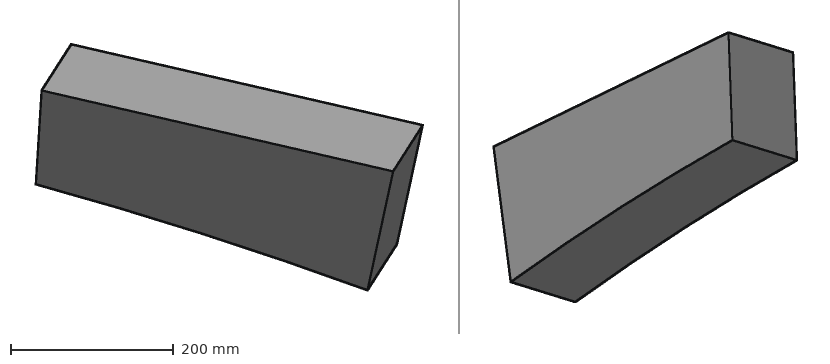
import cadquery as cq
import math

overall_length = 470.02
overall_height = 191.55
width = 101.6
left_end_tilt = 3.0
right_end_tilt = 10.0
left_end_height = 146.1
curve_radius = 4200.0
seam_rise = 138.9

left_slope = math.tan(math.radians(left_end_tilt))
right_slope = math.tan(math.radians(right_end_tilt))

top_left = (left_end_height * left_slope, 0.0)
top_right = (overall_length, 0.0)
bottom_left = (0.0, -left_end_height)
bottom_right = (overall_length - overall_height * right_slope, -overall_height)


def arc_center(start, end, radius):
    """Center, below the chord, of the arc of the given radius from start to end."""
    half_x = (end[0] - start[0]) / 2
    half_z = (end[1] - start[1]) / 2
    half_chord = math.hypot(half_x, half_z)
    drop = math.sqrt(radius**2 - half_chord**2)
    return (
        start[0] + half_x + drop * half_z / half_chord,
        start[1] + half_z - drop * half_x / half_chord,
    )


def point_on_arc(center, x):
    """Point at x on the upper side of the circle about the given center."""
    return (x, center[1] + math.sqrt(curve_radius**2 - (x - center[0]) ** 2))


def end_crossing(center, corner, slope):
    """Point where the line through corner, tilted by slope (X per Z), meets the circle from below."""
    offset_x = corner[0] - center[0]
    offset_z = corner[1] - center[1]
    squared_term = 1 + slope**2
    half_linear_term = offset_x * slope + offset_z
    constant_term = offset_x**2 + offset_z**2 - curve_radius**2
    discriminant = half_linear_term**2 - squared_term * constant_term
    rise = (math.sqrt(discriminant) - half_linear_term) / squared_term
    return (corner[0] + rise * slope, corner[1] + rise)


lower_center = arc_center(bottom_left, bottom_right, curve_radius)
seam_center = (lower_center[0], lower_center[1] + seam_rise)
seam_left = end_crossing(seam_center, bottom_left, left_slope)
seam_right = end_crossing(seam_center, bottom_right, right_slope)


def arc_middle(center, start, end):
    """Point halfway along X between start and end on the arc."""
    return point_on_arc(center, (start[0] + end[0]) / 2)


def make_block():
    """Full block: tilted ends, flat top and arched underside."""
    return (
        cq.Workplane("XZ")
        .moveTo(*bottom_left)
        .threePointArc(arc_middle(lower_center, bottom_left, bottom_right), bottom_right)
        .lineTo(*top_right)
        .lineTo(*top_left)
        .close()
        .extrude(width / 2, both=True)
    )


def make_front_wedge():
    """Flat wedge-shaped face on the front side, between the seam and the top edge."""
    outline = (
        cq.Workplane("XZ", origin=(0, -width / 2, 0))
        .moveTo(*seam_left)
        .threePointArc(arc_middle(seam_center, seam_left, seam_right), seam_right)
        .lineTo(*top_right)
        .lineTo(*top_left)
        .close()
    )
    return cq.Face.makeFromWires(outline.val())


marked_block = make_block().val().split(make_front_wedge())
result = cq.Workplane(marked_block.Solids()[0])